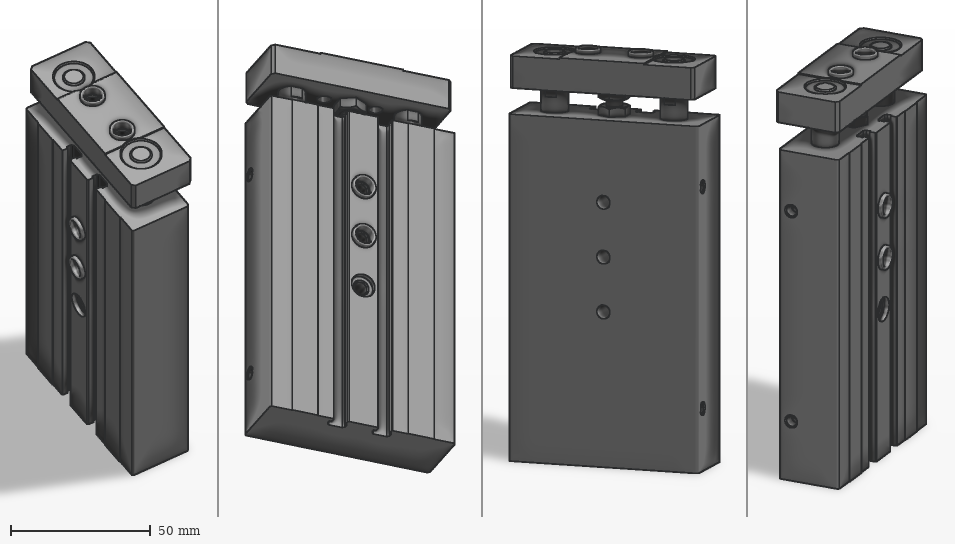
import cadquery as cq
import math


housing_width = 72.0
housing_height = 126.6
housing_front = -12.2
housing_back = 12.0
housing_corner_radius = 1.2

slot_mouth_inner = 6.0
slot_mouth_outer = 11.3
slot_mouth_chamfer = 0.5
slot_lip = 2.5
slot_undercut = 0.8
slot_depth = 5.1
slot_floor_chamfer = 0.8

strip_width = 10.1
relief_depth = 0.23

sleeve_diameter = 9.0
sleeve_bore = 6.6
sleeve_length = 3.6
sleeve_proud = 1.7
sleeve_seat_depth = sleeve_length - sleeve_proud
sleeve_pitch = 20.0
countersink_diameter = 6.0
core_diameter = 5.0
housing_hole_top_z = 96.7
housing_hole_count = 3
housing_sleeve_count = 2

port_mouth_diameter = 5.0
port_diameter = 4.0
port_depth = 4.5
port_tip_angle = 118
port_y = 7.0
port_end_distance = 22.9

plate_width = 70.0
plate_front = -11.1
plate_back = 14.0
plate_bottom = 136.5
plate_end_top = 148.3
plate_top = 148.7
plate_pad_width = 32.2
plate_corner_chamfer = 1.2

rod_diameter = 10.0
rod_spacing = 45.3
rod_insertion = 30.1
rod_flat_width = 9.0
rod_flat_height = 4.2
stud_diameter = 8.0
stud_chamfer = 0.6
stud_recess_diameter = 15.0
stud_recess_floor_diameter = 14.0
stud_recess_taper = 45
stud_recess_depth = (stud_recess_diameter - stud_recess_floor_diameter) / 2

hex_sides = 6
hex_across_flats = 10.1
hex_chamfer_angle = 30
screw_diameter = 6.0
lock_nut_height = 4.2
lock_nut_face_diameter = 8.9
screw_head_height = 3.3
screw_head_face_diameter = 10.1

rod_places = [-rod_spacing / 2, rod_spacing / 2]
plate_sleeve_places = [-sleeve_pitch / 2, sleeve_pitch / 2]
housing_hole_heights = [housing_hole_top_z - i * sleeve_pitch for i in range(housing_hole_count)]
housing_sleeve_heights = housing_hole_heights[:housing_sleeve_count]
port_heights = [port_end_distance, housing_height - port_end_distance]


def rod_cylinder(diameter, bottom, top, x=0.0):
    """Upright cylinder on the rod plane."""
    return cq.Workplane("XY", origin=(x, 0, bottom)).circle(diameter / 2).extrude(top - bottom)


def block(width, front, back, bottom, top):
    """Upright block centred on X between the given planes."""
    shape = cq.Workplane("XY", origin=(0, front, bottom))
    return shape.box(width, back - front, top - bottom, centered=(True, False, False))


def sleeve_hole(length):
    """Hole along +Z from the origin: sleeve seat, 45 degree countersink and core."""
    core_radius = core_diameter / 2
    countersink_radius = countersink_diameter / 2
    outline = [
        (0, 0),
        (sleeve_diameter / 2, 0),
        (sleeve_diameter / 2, sleeve_seat_depth),
        (countersink_radius, sleeve_seat_depth),
        (core_radius, sleeve_seat_depth + countersink_radius - core_radius),
        (core_radius, length),
        (0, length),
    ]
    return cq.Workplane("XZ").polyline(outline).close().revolve(360, (0, 0, 0), (0, 1, 0))


def point_back(shape, z):
    """Turn a shape built along +Z to run along +Y from the housing front at height z."""
    return shape.rotate((0, 0, 0), (1, 0, 0), -90).translate((0, housing_front, z))


def point_down(shape, x):
    """Turn a shape built along +Z to run downwards from the plate top at x."""
    return shape.rotate((0, 0, 0), (1, 0, 0), 180).translate((x, 0, plate_top))


def slot_cutter():
    """T-slot on the +X side, chamfered at its mouth and floor corners."""
    lip = housing_front + slot_lip
    floor = housing_front + slot_depth
    inner_wall = slot_mouth_inner - slot_undercut
    outer_wall = slot_mouth_outer + slot_undercut
    outline = [
        (slot_mouth_inner - slot_mouth_chamfer, housing_front),
        (slot_mouth_inner, housing_front + slot_mouth_chamfer),
        (slot_mouth_inner, lip),
        (inner_wall, lip),
        (inner_wall, floor - slot_floor_chamfer),
        (inner_wall + slot_floor_chamfer, floor),
        (outer_wall - slot_floor_chamfer, floor),
        (outer_wall, floor - slot_floor_chamfer),
        (outer_wall, lip),
        (slot_mouth_outer, lip),
        (slot_mouth_outer, housing_front + slot_mouth_chamfer),
        (slot_mouth_outer + slot_mouth_chamfer, housing_front),
    ]
    return cq.Workplane("XY").polyline(outline).close().extrude(housing_height)


def relief_cutters():
    """Shallow reliefs on the +X side, from the slot to the strip and from the strip to the corner."""
    rod_x = rod_spacing / 2
    spans = [
        (slot_mouth_outer, rod_x - strip_width / 2),
        (rod_x + strip_width / 2, housing_width / 2),
    ]
    for start, end in spans:
        relief = cq.Workplane("XY").box(end - start, relief_depth, housing_height, centered=False)
        yield relief.translate((start, housing_front, 0))


def port_cutter(z):
    """Port bored from the -X side, with a 45 degree countersink and a conical drill tip."""
    mouth_radius = port_mouth_diameter / 2
    radius = port_diameter / 2
    tip = port_depth + radius / math.tan(math.radians(port_tip_angle / 2))
    outline = [
        (0, 0),
        (0, mouth_radius),
        (mouth_radius - radius, radius),
        (port_depth, radius),
        (tip, 0),
    ]
    cutter = cq.Workplane("XY").polyline(outline).close().revolve(360, (0, 0, 0), (1, 0, 0))
    return cutter.translate((-housing_width / 2, port_y, z))


def make_housing():
    body = block(housing_width, housing_front, housing_back, 0, housing_height)
    body = body.edges("|Z").fillet(housing_corner_radius)
    for cutter in [slot_cutter(), *relief_cutters()]:
        body = body.cut(cutter).cut(cutter.mirror("YZ"))
    for z in housing_hole_heights:
        body = body.cut(point_back(sleeve_hole(housing_back - housing_front), z))
    for z in port_heights:
        body = body.cut(port_cutter(z))
    for x in rod_places:
        body = body.cut(rod_cylinder(rod_diameter, housing_height - rod_insertion, housing_height, x))
    return body


def hex_block(bottom, height, chamfered_face, face_diameter):
    """Hexagon with a corner towards -Y and its corners turned off at one end."""
    corner_diameter = hex_across_flats / math.cos(math.pi / hex_sides)
    prism = cq.Workplane("XY", origin=(0, 0, bottom)).polygon(hex_sides, corner_diameter).extrude(height)
    prism = prism.rotate((0, 0, 0), (0, 0, 1), 180 / hex_sides)
    chamfer = (corner_diameter - face_diameter) / 2
    chamfer_height = chamfer * math.tan(math.radians(hex_chamfer_angle))
    turned = rod_cylinder(corner_diameter, bottom, bottom + height)
    turned = turned.faces(chamfered_face).chamfer(chamfer_height, chamfer)
    return prism.intersect(turned)


def make_stop_screw():
    """Lock nut, shank and head between the plate and the housing."""
    shank = rod_cylinder(screw_diameter, housing_height, plate_bottom)
    head = hex_block(housing_height, screw_head_height, ">Z", screw_head_face_diameter)
    lock_nut = hex_block(plate_bottom - lock_nut_height, lock_nut_height, "<Z", lock_nut_face_diameter)
    return shank.union(head).union(lock_nut)


def stud_recess(x):
    """Recess around a stud, its wall tapering to the floor; it also clears the edge of the pad."""
    taper = cq.Workplane("XY", origin=(x, 0, plate_end_top)).circle(stud_recess_diameter / 2)
    taper = taper.extrude(-stud_recess_depth, taper=stud_recess_taper)
    return taper.union(rod_cylinder(stud_recess_diameter, plate_end_top, plate_top, x))


def make_plate():
    """Yoke plate with a raised middle pad, carrying the stop screw."""
    body = block(plate_width, plate_front, plate_back, plate_bottom, plate_end_top)
    body = body.edges("|Z").chamfer(plate_corner_chamfer)
    body = body.union(block(plate_pad_width, plate_front, plate_back, plate_end_top, plate_top))
    for x in rod_places:
        body = body.cut(stud_recess(x)).cut(rod_cylinder(stud_diameter, plate_bottom, plate_top, x))
    for x in plate_sleeve_places:
        body = body.cut(point_down(sleeve_hole(plate_top - plate_bottom), x))
    return body.union(make_stop_screw())


def make_rod(x):
    """Guide rod with two spanner flats and a chamfered stud through the plate."""
    rod = rod_cylinder(rod_diameter, housing_height - rod_insertion, plate_bottom, x)
    flats = cq.Workplane("XY", origin=(x, 0, plate_bottom - rod_flat_height))
    ring = flats.rect(2 * rod_diameter, 2 * rod_diameter).rect(2 * rod_diameter, rod_flat_width)
    rod = rod.cut(ring.extrude(rod_flat_height))
    stud = rod_cylinder(stud_diameter, plate_bottom, plate_end_top, x)
    return rod.union(stud.faces(">Z").chamfer(stud_chamfer))


def make_sleeve():
    """Sleeve along +Z, its proud end below the origin and fully rounded."""
    inner = sleeve_bore / 2
    outer = sleeve_diameter / 2
    lip_radius = (outer - inner) / 2
    lip_start = lip_radius - sleeve_proud
    profile = (
        cq.Workplane("XZ")
        .moveTo(inner, lip_start)
        .threePointArc((inner + lip_radius, -sleeve_proud), (outer, lip_start))
        .lineTo(outer, sleeve_seat_depth)
        .lineTo(inner, sleeve_seat_depth)
        .close()
    )
    return profile.revolve(360, (0, 0, 0), (0, 1, 0))


housing = make_housing()
plate = make_plate()
rods = [make_rod(x) for x in rod_places]
front_sleeves = [point_back(make_sleeve(), z) for z in housing_sleeve_heights]
plate_sleeves = [point_down(make_sleeve(), x) for x in plate_sleeve_places]

bodies = [housing, plate, *rods, *front_sleeves, *plate_sleeves]
result = cq.Compound.makeCompound([body.val() for body in bodies])